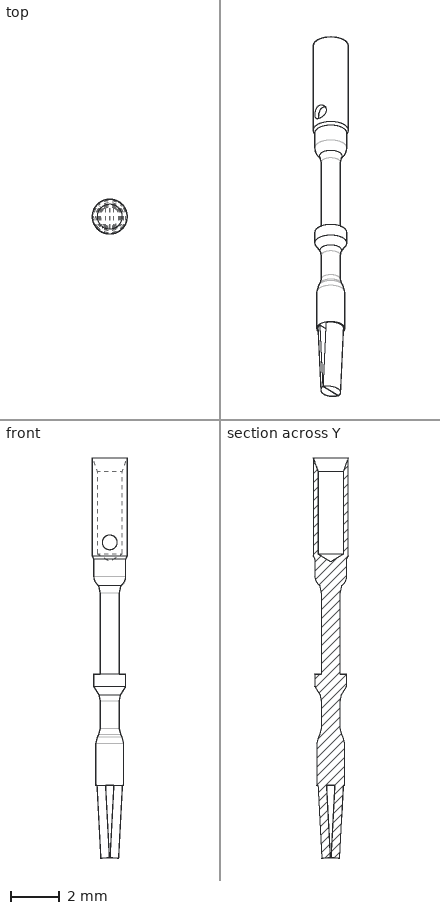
import cadquery as cq
import math

barrel_radius = 0.73
neck_radius = 0.66
neck_blend_radius = 0.46
shaft_radius = 0.4
collar_radius = 0.66
collar_cone_radius = 0.45
shoulder_base_radius = 0.46
shoulder_top_radius = 0.51
sleeve_radius = 0.58

total_height = 16.5
barrel_bottom = 12.45
neck_top = 12.33
neck_bottom = 11.62
neck_blend_middle = 11.24
neck_blend_bottom = 10.92
collar_top = 7.59
collar_bottom = 7.08
collar_cone_bottom = 6.73
collar_blend_bottom = 6.48
shoulder_blend_top = 5.35
shoulder_base = 5.1
shoulder_top = 5.0
sleeve_top = 4.74
sleeve_bottom = 3.0

mouth_radius = 0.71
bore_radius = 0.51
mouth_depth = 0.56
bore_bottom = 12.54
drill_tip_angle = 118
inspection_diameter = 0.61
inspection_height = 13.02

tine_radius = 0.53
tine_half_gap = 0.16
tine_bend_angle = 3
tine_root_overlap = 0.16


def turned_body():
    """Revolve the stepped outline from the sleeve up to the barrel mouth."""
    blend_width = neck_radius - neck_blend_radius
    blend_height = neck_bottom - neck_blend_middle
    round_radius = (blend_width**2 + blend_height**2) / (2 * blend_width)
    half_sweep = math.asin(blend_height / round_radius) / 2
    neck_arc_radius = neck_radius - round_radius * (1 - math.cos(half_sweep))
    neck_arc_height = neck_bottom - round_radius * math.sin(half_sweep)
    outline = (
        cq.Workplane("XZ")
        .moveTo(0, sleeve_bottom)
        .lineTo(sleeve_radius, sleeve_bottom)
        .lineTo(sleeve_radius, sleeve_top)
        .lineTo(shoulder_top_radius, shoulder_top)
        .lineTo(shoulder_base_radius, shoulder_base)
        .lineTo(shaft_radius, shoulder_blend_top)
        .lineTo(shaft_radius, collar_blend_bottom)
        .lineTo(collar_cone_radius, collar_cone_bottom)
        .lineTo(collar_radius, collar_bottom)
        .lineTo(collar_radius, collar_top)
        .lineTo(shaft_radius, collar_top)
        .lineTo(shaft_radius, neck_blend_bottom)
        .lineTo(neck_blend_radius, neck_blend_middle)
        .threePointArc((neck_arc_radius, neck_arc_height), (neck_radius, neck_bottom))
        .lineTo(neck_radius, neck_top)
        .lineTo(barrel_radius, barrel_bottom)
        .lineTo(barrel_radius, total_height)
        .lineTo(0, total_height)
        .close()
    )
    return outline.revolve(360, (0, 0, 0), (0, 1, 0))


def wire_socket():
    """Tapered mouth, straight bore and conical drill bottom."""
    tip_depth = bore_radius / math.tan(math.radians(drill_tip_angle / 2))
    outline = (
        cq.Workplane("XZ")
        .moveTo(0, bore_bottom - tip_depth)
        .lineTo(bore_radius, bore_bottom)
        .lineTo(bore_radius, total_height - mouth_depth)
        .lineTo(mouth_radius, total_height)
        .lineTo(0, total_height)
        .close()
    )
    return outline.revolve(360, (0, 0, 0), (0, 1, 0))


def inspection_hole():
    """Round hole through the -Y wall of the barrel."""
    return (
        cq.Workplane("XZ")
        .center(0, inspection_height)
        .circle(inspection_diameter / 2)
        .extrude(barrel_radius)
    )


def tine(side):
    """One solid tine; side is +1 or -1 along X. It leans inwards below the sleeve."""
    bend = math.radians(tine_bend_angle)
    length = (sleeve_bottom - tine_radius * math.sin(bend)) / math.cos(bend)
    height = length + tine_root_overlap
    base = sleeve_bottom - length
    round_bar = cq.Workplane("XY").workplane(offset=base).circle(tine_radius).extrude(height)
    half_space = (
        cq.Workplane("XY")
        .workplane(offset=base)
        .center(side * (tine_half_gap + tine_radius), 0)
        .rect(2 * tine_radius, 2 * tine_radius)
        .extrude(height)
    )
    pivot = (0, 0, sleeve_bottom)
    return round_bar.intersect(half_space).rotate(pivot, (0, 1, sleeve_bottom), side * tine_bend_angle)


result = turned_body().cut(wire_socket()).cut(inspection_hole())
for side in (-1, 1):
    result = result.union(tine(side))